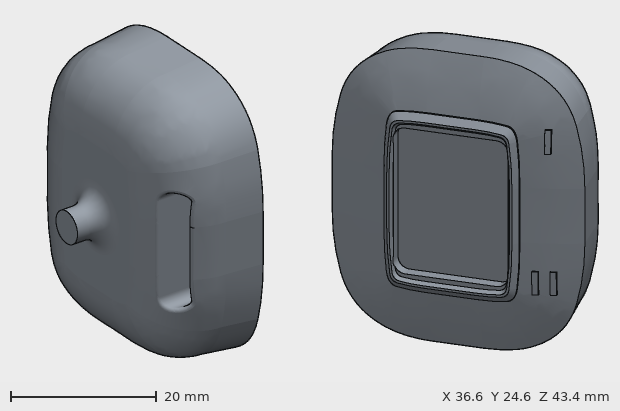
import cadquery as cq
import math

TURN = 5.4

WALL_END = -5.75
FACE = -14.9
PEG_TIP = -19.9
PLATE_BASE = 2.5
PLATE_SHOULDER = 2.8
PLATE_TOP = 3.75
BACK_BULGE = 0.25
DOME_STEPS = 8

FLAT_X = 3.77
FLAT_Z = 4.08

PEG_RADIUS = 5.0 / 2
PEG_FLARE = 3.0

SLOT_X = 14.05
SLOT_RADIUS = 1.45
SLOT_CENTER_SPAN = 15.1
SLOT_FLOOR = -5.65
SLOT_ROUND = 0.5
SELECT_MARGIN = 0.05

RECESS_WIDTH = 16.65
RECESS_HEIGHT = 21.7
RECESS_CORNER = 3.4 / 2
RECESS_FLOOR = 1.3
RECESS_BEVEL = 0.6

BAR_WIDTH = 0.82
BAR_LENGTH = 3.45
BAR_HEIGHT = 0.3
BARS = [(-13.6, 11.05), (-14.35, -9.97), (-11.92, -9.97)]


def blend_point(p, q, t):
    return tuple(a + (b - a) * t for a, b in zip(p, q))


def quadrant(half_width, half_height, top_control, corner, side_control, corner_start, corner_end):
    """Control points (x, z) of a quarter outline: three quadratic curves that join smoothly.

    corner_start and corner_end are how far along the two control legs the corner curve begins and ends.
    """
    top = (top_control, half_height)
    side = (half_width, side_control)
    start = blend_point(top, corner, corner_start)
    end = blend_point(corner, side, corner_end)
    return [(FLAT_X, half_height), top, start, corner, end, side, (half_width, FLAT_Z)]


def blend(first, second, t):
    return [blend_point(p, q, t) for p, q in zip(first, second)]


def outline(quarter, y):
    """Closed wire at depth y, the quarter mirrored in X and Z."""
    loop = []
    for sign_x, sign_z in [(1, 1), (1, -1), (-1, -1), (-1, 1)]:
        points = [cq.Vector(sign_x * x, y, sign_z * z) for x, z in quarter]
        loop.append(points if sign_x == sign_z else points[::-1])
    edges = []
    for index, points in enumerate(loop):
        for first in (0, 2, 4):
            edges.append(cq.Edge.makeBezier(points[first:first + 3]))
        edges.append(cq.Edge.makeLine(points[-1], loop[(index + 1) % 4][0]))
    return cq.Wire.assembleEdges(edges)


def loft(wires, ruled=False):
    return cq.Workplane(obj=cq.Solid.makeLoft(wires, ruled))


rim = quadrant(18.4, 21.7, 7.8, (15.75, 18.4), 8.8, 0.35, 0.54)
wall_end = quadrant(17.78, 21.07, 7.7, (15.2, 17.8), 8.67, 0.35, 0.54)
face = quadrant(7.85, 11.2, 5.65, (7.05, 10.5), 6.95, 0.96, 0.04)
plate_base = quadrant(9.85, 13.3, 6.05, (9.25, 12.85), 8.25, 0.6, 0.42)
plate_top = quadrant(9.1, 12.3, 5.65, (8.5, 11.95), 7.8, 0.6, 0.27)

recess_mouth = quadrant(8.75, 11.95, 5.65, (8.2, 11.6), 7.8, 0.6, 0.27)
recess_throat = quadrant(8.4, 11.55, 5.65, (7.95, 11.25), 7.8, 0.6, 0.27)


def make_dome():
    """Quarter-ellipse profile from the end of the wall to the flat face."""
    wires = []
    for step in range(DOME_STEPS + 1):
        angle = math.radians(90 * step / DOME_STEPS)
        y = WALL_END + (FACE - WALL_END) * math.sin(angle)
        wires.append(outline(blend(face, wall_end, math.cos(angle)), y))
    return loft(wires)


def make_back():
    wires = []
    for t in (0, 0.5, 1):
        y = PLATE_BASE * t + BACK_BULGE * 4 * t * (1 - t)
        wires.append(outline(blend(rim, plate_base, t), y))
    return loft(wires)


def make_peg():
    shoulder = FACE - PEG_FLARE
    foot = PEG_RADIUS + PEG_FLARE
    half_way = PEG_FLARE * math.sin(math.radians(45))
    mid = foot - half_way
    mid_y = shoulder + half_way
    return (
        cq.Workplane("XY")
        .moveTo(0, PEG_TIP)
        .lineTo(PEG_RADIUS, PEG_TIP)
        .lineTo(PEG_RADIUS, shoulder)
        .threePointArc((mid, mid_y), (foot, FACE))
        .lineTo(0, FACE)
        .close()
        .revolve(360, (0, 0, 0), (0, 1, 0))
    )


def make_plate():
    foot = [outline(plate_base, PLATE_BASE), outline(plate_base, PLATE_SHOULDER)]
    sides = [outline(plate_base, PLATE_SHOULDER), outline(plate_top, PLATE_TOP)]
    return loft(foot, ruled=True).union(loft(sides, ruled=True))


def make_recess():
    """Rounded pocket in the plate, its mouth bevelled out to a narrow land."""
    pocket = (
        cq.Workplane("XZ", origin=(0, PLATE_TOP, 0))
        .rect(RECESS_WIDTH, RECESS_HEIGHT)
        .extrude(PLATE_TOP - RECESS_FLOOR)
        .edges("|Y")
        .fillet(RECESS_CORNER)
    )
    bevel = loft(
        [outline(recess_mouth, PLATE_TOP), outline(recess_throat, PLATE_TOP - RECESS_BEVEL)],
        ruled=True,
    )
    return pocket.union(bevel)


def make_slot():
    return (
        cq.Workplane("XZ", origin=(SLOT_X, SLOT_FLOOR, 0))
        .slot2D(SLOT_CENTER_SPAN + 2 * SLOT_RADIUS, 2 * SLOT_RADIUS, 90)
        .extrude(SLOT_FLOOR - FACE)
    )


def round_slot_mouth(solid):
    """Round the edge where the slot breaks through the curved surface of the dome."""
    reach = SLOT_RADIUS + SELECT_MARGIN
    near_slot = cq.selectors.BoxSelector(
        (SLOT_X - reach, FACE, -SLOT_CENTER_SPAN),
        (SLOT_X + reach, WALL_END - SELECT_MARGIN, SLOT_CENTER_SPAN),
        boundingbox=True,
    )
    return solid.edges(near_slot).edges("not |Y").fillet(SLOT_ROUND)


def make_bars(back):
    """Raised bars whose tops follow the sloped back."""
    columns = (
        cq.Workplane("XZ")
        .pushPoints(BARS)
        .rect(BAR_WIDTH, BAR_LENGTH)
        .extrude(-PLATE_BASE)
    )
    return columns.intersect(back.translate((0, BAR_HEIGHT, 0)))


wall = loft([outline(rim, 0), outline(wall_end, WALL_END)], ruled=True)
dome = round_slot_mouth(make_dome().cut(make_slot()))
front = wall.union(dome).cut(make_slot()).union(make_peg())
back = make_back()
body = front.union(back).union(make_plate()).union(make_bars(back)).cut(make_recess())
result = body.rotate((0, 0, 0), (0, 0, 1), TURN)